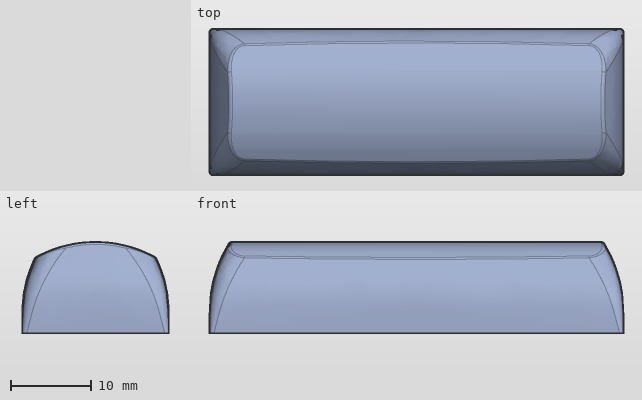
import cadquery as cq
import math

length = 51.55
width = 18.25
height = 11.4

upright_height = 2.6
end_wall_radius = 16.5
side_wall_radius = 15.45

foot_corner_radius = 0.5
top_corner_radius = 3.25
top_end_bow = 0.4
top_side_bow = 0.35

crown_radius = 15.2
crown_edge_fillet = 0.55

loft_height = 12.9
loft_steps = 10


def wall_inset(z, wall_radius):
    """Distance a wall has leaned inward at height z."""
    rise = max(z - upright_height, 0.0)
    return wall_radius - math.sqrt(wall_radius**2 - rise**2)


def wall_outline(z):
    """Closed plan outline of the walls at height z: four bowed sides and round corners."""
    fraction = z / height
    mid_x = length / 2 - wall_inset(z, end_wall_radius)
    mid_y = width / 2 - wall_inset(z, side_wall_radius)
    corner_x = mid_x - top_end_bow * fraction
    corner_y = mid_y - top_side_bow * fraction
    corner_radius = foot_corner_radius + (top_corner_radius - foot_corner_radius) * fraction
    if z == 0:
        outline = cq.Workplane("XY").rect(length, width).wires().val()
    else:
        outline = (
            cq.Workplane("XY", origin=(0, 0, z))
            .moveTo(-corner_x, -corner_y)
            .threePointArc((0, -mid_y), (corner_x, -corner_y))
            .threePointArc((mid_x, 0), (corner_x, corner_y))
            .threePointArc((0, mid_y), (-corner_x, corner_y))
            .threePointArc((-mid_x, 0), (-corner_x, -corner_y))
            .close()
            .val()
        )
    return outline.fillet2D(corner_radius, outline.Vertices())


def make_walls():
    heights = [loft_height * step / loft_steps for step in range(loft_steps + 1)]
    return cq.Workplane(cq.Solid.makeLoft([wall_outline(z) for z in heights]))


def make_crown():
    return (
        cq.Workplane("YZ")
        .center(0, height - crown_radius)
        .circle(crown_radius)
        .extrude(length, both=True)
    )


body = make_walls().intersect(make_crown())
result = body.faces(">Z").edges().fillet(crown_edge_fillet)